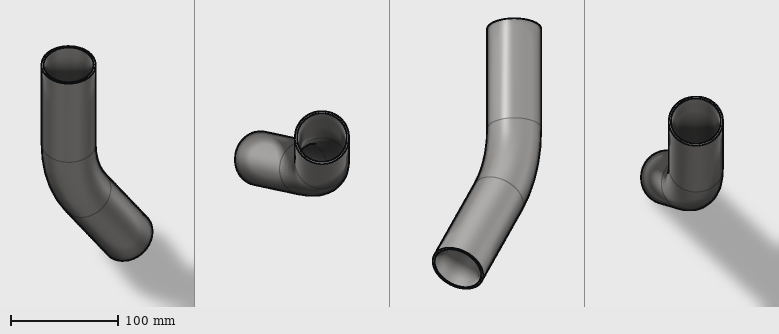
import cadquery as cq
import math

outer_diameter = 50.8
inner_diameter = 46.58
straight_length = 101.6
bend_radius = 152.4
bend_angle = 30.0


def on_bend(angle):
    """Centreline point (Y, Z) of the bend, at an angle in degrees past the upper leg."""
    turn = math.radians(angle)
    return (bend_radius * (1 - math.cos(turn)), -bend_radius * math.sin(turn))


def centreline():
    """Upper leg down the Z axis, bend towards +Y, then the sloping lower leg."""
    slope = math.radians(bend_angle)
    bend_end_y, bend_end_z = on_bend(bend_angle)
    lower_end = (
        bend_end_y + straight_length * math.sin(slope),
        bend_end_z - straight_length * math.cos(slope),
    )
    return (
        cq.Workplane("YZ")
        .moveTo(0, straight_length)
        .lineTo(0, 0)
        .threePointArc(on_bend(bend_angle / 2), (bend_end_y, bend_end_z))
        .lineTo(*lower_end)
    )


def bent_tube():
    """Ring-shaped section swept along the centreline, open at both ends."""
    return (
        cq.Workplane("XY", origin=(0, 0, straight_length))
        .circle(outer_diameter / 2)
        .circle(inner_diameter / 2)
        .sweep(centreline())
    )


result = bent_tube()